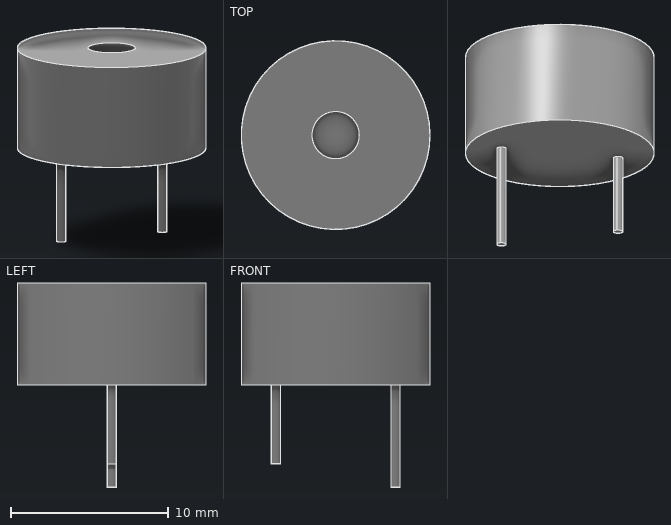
import cadquery as cq


housing_diameter = 12.0
housing_height = 6.5

sound_hole_diameter = 3.0
sound_hole_depth = 1.0

lead_diameter = 0.6
lead_pitch = 7.6
short_lead_length = 5.0
long_lead_length = 6.5


def make_housing():
    """Solid cylinder with a blind sound hole in the middle of its top face."""
    body = cq.Workplane("XY").circle(housing_diameter / 2).extrude(housing_height)
    sound_hole = (
        cq.Workplane("XY")
        .workplane(offset=housing_height - sound_hole_depth)
        .circle(sound_hole_diameter / 2)
        .extrude(sound_hole_depth)
    )
    return body.cut(sound_hole)


def make_lead(x, length):
    """Straight round lead that starts at the underside of the housing."""
    return cq.Workplane("XY").center(x, 0).circle(lead_diameter / 2).extrude(-length)


housing = make_housing()

lead_layout = [
    (-lead_pitch / 2, short_lead_length),
    (lead_pitch / 2, long_lead_length),
]
leads = [make_lead(x, length) for x, length in lead_layout]

result = cq.Compound.makeCompound([housing.val(), *[lead.val() for lead in leads]])